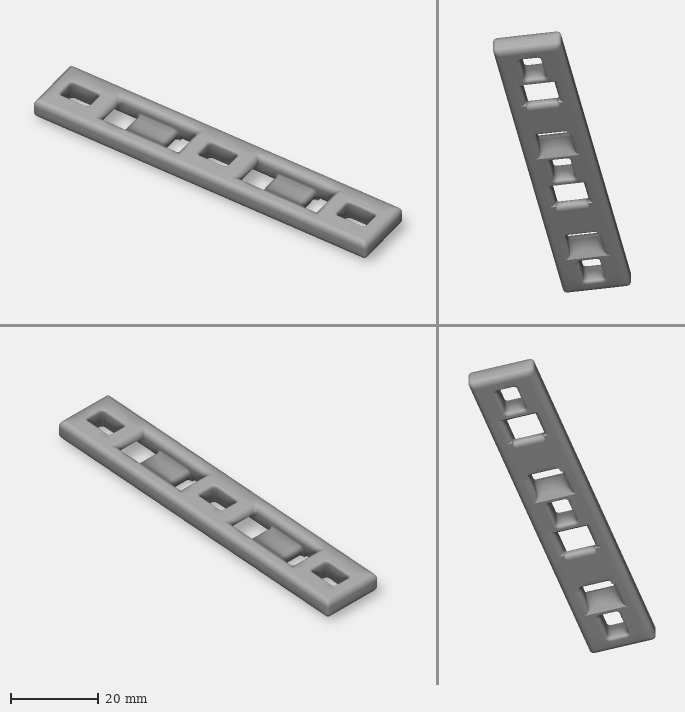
import cadquery as cq

length = 91.3
width = 15.9
height = 5.1
edge_radius = 1.55
corner_radius = 0.78
top_z = height / 2
bottom_z = -height / 2

slot_pitch = 37.9
window_offset = slot_pitch / 2

slot_length = 7.85
slot_width = 5.0
slot_corner_radius = 0.78
slot_rim_radius = 0.6

window_length = 21.1
window_width = 7.8
window_rim_radius = 1.5
window_corner_radius = 0.78
end_wall_height = 0.4

bar_length = 10.8
bar_height = height / 2
bar_edge_radius = 1.1
bar_root_radius = 0.6

rim_bend = window_rim_radius * 0.5 ** 0.5
rim_base_z = top_z - window_rim_radius
flare_start_z = bottom_z + window_rim_radius
rim_length = window_length + 2 * window_rim_radius
rim_width = window_width + 2 * window_rim_radius
ramp_start_z = rim_base_z - end_wall_height
ramp_run = ramp_start_z - bottom_z
underside_length = window_length + 2 * ramp_run


def make_body():
    """Strip with its long and short edges rounded, mitred and softened at the corners."""
    block = cq.Workplane("XY").box(length, width, height)
    rounded_length = block.edges("|X").fillet(edge_radius)
    rounded_width = block.edges("|Y").fillet(edge_radius)
    mitred = rounded_length.intersect(rounded_width)
    return mitred.edges("|Z").fillet(corner_radius)


def cut_slots(body):
    """Cut the through slots and round over their top and bottom rims."""
    slots = (
        cq.Workplane("XY")
        .pushPoints([(-slot_pitch, 0), (0, 0), (slot_pitch, 0)])
        .box(slot_length, slot_width, height)
        .edges("|Z").fillet(slot_corner_radius)
    )
    slot_zone = cq.selectors.BoxSelector(
        (-slot_pitch - slot_length, -slot_width, bottom_z - 0.9),
        (slot_pitch + slot_length, slot_width, top_z + 0.9),
    )
    return body.cut(slots).faces("<Z or >Z").edges(slot_zone).fillet(slot_rim_radius)


def rim_section(plane, throat):
    """Upper opening section: rounded rim at the top, then upright walls down to the ramps."""
    inner = throat / 2
    outer = inner + window_rim_radius
    return (
        cq.Workplane(plane)
        .moveTo(0, top_z)
        .lineTo(outer, top_z)
        .threePointArc((outer - rim_bend, rim_base_z + rim_bend), (inner, rim_base_z))
        .lineTo(inner, ramp_start_z)
        .lineTo(0, ramp_start_z)
        .mirrorY()
    )


def make_window_rim(softened):
    """Upper part of the window cutter, with its mitred corners optionally softened."""
    across = rim_section("XZ", window_length).extrude(rim_width / 2, both=True)
    along = rim_section("YZ", window_width).extrude(rim_length / 2, both=True)
    rim = across.intersect(along)
    if softened:
        rim = rim.edges("|Z").fillet(window_corner_radius)
    return rim


def make_window_underside():
    """Lower part of the window cutter: ramped end walls and long walls that flare outward."""
    ramps = (
        cq.Workplane("XZ")
        .moveTo(0, ramp_start_z)
        .lineTo(window_length / 2, ramp_start_z)
        .lineTo(underside_length / 2, bottom_z)
        .lineTo(0, bottom_z)
        .mirrorY()
        .extrude(rim_width / 2, both=True)
    )
    flares = (
        cq.Workplane("YZ")
        .moveTo(0, ramp_start_z)
        .lineTo(window_width / 2, ramp_start_z)
        .lineTo(window_width / 2, flare_start_z)
        .threePointArc(
            (rim_width / 2 - rim_bend, flare_start_z - rim_bend),
            (rim_width / 2, bottom_z),
        )
        .lineTo(0, bottom_z)
        .mirrorY()
        .extrude(underside_length / 2, both=True)
    )
    return ramps.intersect(flares)


def make_bar():
    """Rounded bar whose roots flare into the two long window walls."""
    bar = (
        cq.Workplane("XY").box(bar_length, window_width, bar_height)
        .edges("|Y").fillet(bar_edge_radius)
        .translate((0, 0, bottom_z + bar_height / 2))
    )
    wall_y = (window_width + window_rim_radius) / 2
    walls = (
        cq.Workplane("XY")
        .pushPoints([(0, -wall_y), (0, wall_y)])
        .box(2 * bar_length, window_rim_radius, 3 * height)
    )
    root_zone = cq.selectors.BoxSelector(
        (-bar_length, -wall_y, -height),
        (bar_length, wall_y, height),
    )
    flared = bar.union(walls).edges(root_zone).edges("not |Y").fillet(bar_root_radius)
    trim = (
        cq.Workplane("XY")
        .box(bar_length + 2 * bar_root_radius, rim_width, rim_base_z - bottom_z)
        .translate((0, 0, (rim_base_z + bottom_z) / 2))
    )
    return flared.intersect(trim)


result = cut_slots(make_body())
underside = make_window_underside()
bar = make_bar()
for x, softened in ((-window_offset, True), (window_offset, False)):
    window = make_window_rim(softened).union(underside)
    result = result.cut(window.translate((x, 0, 0)))
    result = result.union(bar.translate((x, 0, 0)))